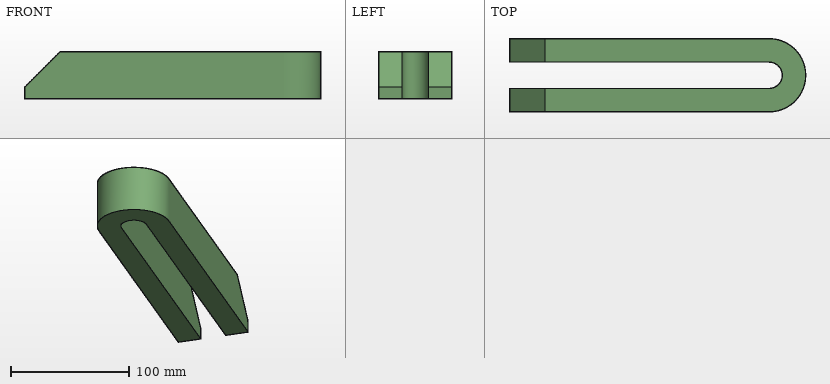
import cadquery as cq

length = 250.0
height = 40.0
arm_width = 20.0
slot_width = 22.0
nose_height = 10.0
bevel_length = 30.0

inner_radius = slot_width / 2
outer_radius = inner_radius + arm_width
bend_center_x = length - outer_radius


def u_shaped_bar():
    """Two parallel arms joined by a half-round bend at the +X end."""
    return (
        cq.Workplane("XY")
        .moveTo(0, -outer_radius)
        .lineTo(bend_center_x, -outer_radius)
        .threePointArc((length, 0), (bend_center_x, outer_radius))
        .lineTo(0, outer_radius)
        .lineTo(0, inner_radius)
        .lineTo(bend_center_x, inner_radius)
        .threePointArc((bend_center_x + inner_radius, 0), (bend_center_x, -inner_radius))
        .lineTo(0, -inner_radius)
        .close()
        .extrude(height)
    )


def nose_bevel():
    """Wedge that slopes the top of both arm tips."""
    return (
        cq.Workplane("XZ")
        .moveTo(0, nose_height)
        .lineTo(bevel_length, height)
        .lineTo(0, height)
        .close()
        .extrude(outer_radius, both=True)
    )


result = u_shaped_bar().cut(nose_bevel())